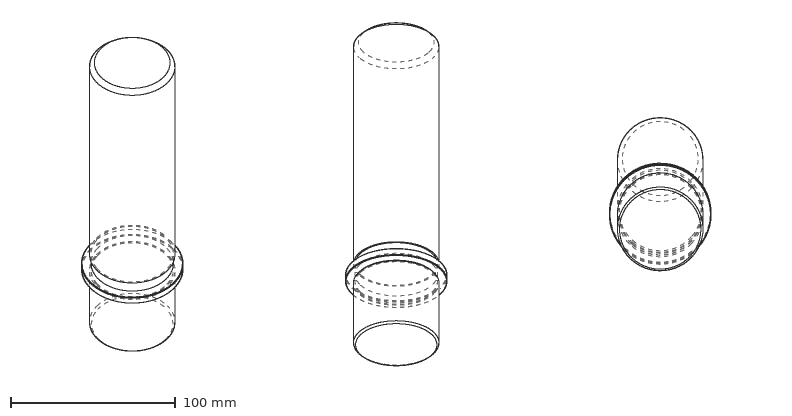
import cadquery as cq

total_length = 215.0
shaft_diameter = 52.0
neck_diameter = 50.0
collar_diameter = 62.0

collar_bottom = 45.0
collar_thickness = 5.0
upper_neck_length = 7.5
lower_neck_length = 1.0

top_chamfer = 3.0
bottom_chamfer = 1.3
collar_chamfer = 0.5

collar_top = collar_bottom + collar_thickness
shaft_bottom = collar_top + upper_neck_length
base_length = collar_bottom - lower_neck_length


def cylinder(diameter, bottom, top):
    """Upright cylinder on the Z axis between two heights."""
    return cq.Workplane("XY").workplane(offset=bottom).circle(diameter / 2).extrude(top - bottom)


base = cylinder(shaft_diameter, 0, base_length).faces("<Z").chamfer(bottom_chamfer)

neck = cylinder(neck_diameter, base_length, shaft_bottom)

collar = cylinder(collar_diameter, collar_bottom, collar_top).edges().chamfer(collar_chamfer)

shaft = cylinder(shaft_diameter, shaft_bottom, total_length).faces(">Z").chamfer(top_chamfer)

result = base.union(neck).union(collar).union(shaft)